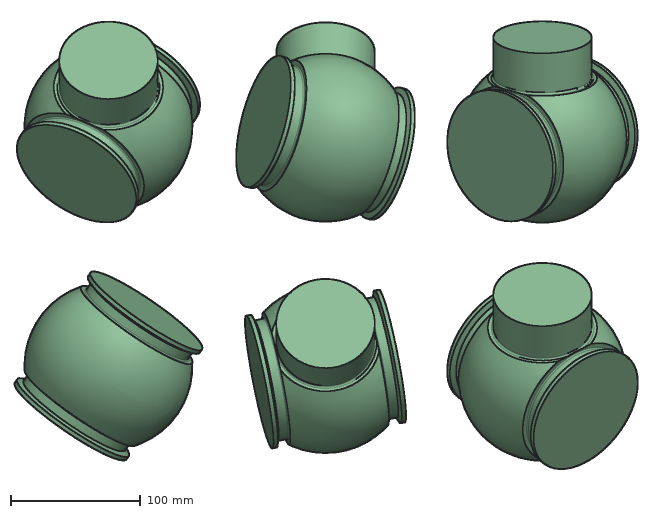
import cadquery as cq

SPHERE_RADIUS = 65.075
SIDE_FLAT = 39.0
TOP_FLAT = 49.5

TUBE_FILLET = 1.5
PORT_FILLET = 1.0

OVERALL_HEIGHT = 148.01
TUBE_RADIUS = 38.1
TUBE_TOP = OVERALL_HEIGHT - SPHERE_RADIUS

PORT_SPAN = 104.9
PORT_FACE = PORT_SPAN / 2
PORT_NECK_RADIUS = 47.6
FLANGE_RADIUS = 52.4
FLANGE_RIM = 3.5
FLANGE_TAPER = 1.75


def fillet_collar(profile, radius, flat, fillet):
    """Start a half profile at the origin and run it up to the neck through a concave fillet."""
    root_radius = radius + fillet
    bow = fillet * (1 - 0.5 ** 0.5)
    return (
        profile
        .moveTo(0, 0)
        .lineTo(root_radius, 0)
        .lineTo(root_radius, flat)
        .threePointArc((radius + bow, flat + bow), (radius, flat + fillet))
    )


def make_top_tube():
    """Plain closed tube standing on the top flat."""
    profile = fillet_collar(cq.Workplane("XZ"), TUBE_RADIUS, TOP_FLAT, TUBE_FILLET)
    return (
        profile
        .lineTo(TUBE_RADIUS, TUBE_TOP)
        .lineTo(0, TUBE_TOP)
        .close()
        .revolve(360, (0, 0, 0), (0, 1, 0))
    )


def make_body():
    """Sphere cut by the top flat, carrying the top tube, with both trimmed to the side flats."""
    width = 2 * SPHERE_RADIUS
    below_top_flat = (
        cq.Workplane("XY", origin=(0, 0, -SPHERE_RADIUS))
        .rect(width, width)
        .extrude(SPHERE_RADIUS + TOP_FLAT)
    )
    between_side_flats = (
        cq.Workplane("XY", origin=(0, 0, -SPHERE_RADIUS))
        .rect(width, 2 * SIDE_FLAT)
        .extrude(SPHERE_RADIUS + TUBE_TOP)
    )
    sphere = cq.Workplane("XY").sphere(SPHERE_RADIUS).intersect(below_top_flat)
    return sphere.union(make_top_tube()).intersect(between_side_flats)


def make_side_port():
    """Closed neck along +Y ending in a flange with a conical back."""
    rim_back = PORT_FACE - FLANGE_RIM
    profile = fillet_collar(cq.Workplane("XY"), PORT_NECK_RADIUS, SIDE_FLAT, PORT_FILLET)
    return (
        profile
        .lineTo(PORT_NECK_RADIUS, rim_back - FLANGE_TAPER)
        .lineTo(FLANGE_RADIUS, rim_back)
        .lineTo(FLANGE_RADIUS, PORT_FACE)
        .lineTo(0, PORT_FACE)
        .close()
        .revolve(360, (0, 0, 0), (0, 1, 0))
    )


side_port = make_side_port()
result = (
    make_body()
    .union(side_port)
    .union(side_port.mirror("XZ"))
)